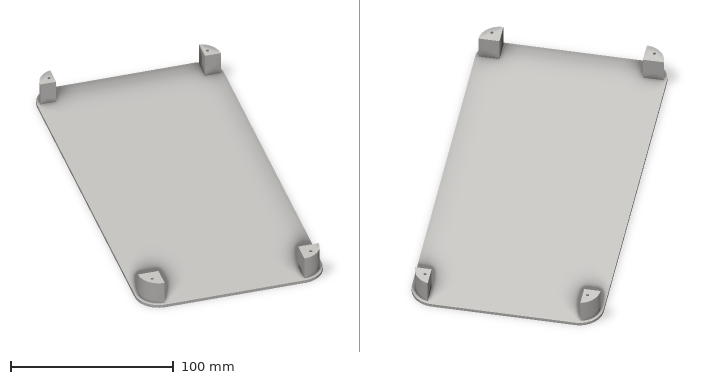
import cadquery as cq

length = 240.0
width = 120.0
total_height = 17.0
plate_thickness = 2.0
corner_radius = 15.0

rim = 2.0
post_radius = corner_radius - rim
post_height = total_height - plate_thickness
left_post_trim = 3.0

hole_diameter = 2.0
left_hole_inset_x = 10.0
right_hole_inset_x = 8.5
hole_inset_y = 9.0


def make_plate():
    plate = cq.Workplane("XY").box(length, width, plate_thickness, centered=(True, True, False))
    return plate.edges("|Z").fillet(corner_radius)


def make_post(side_x, side_y, trim):
    """Quarter-round post for the corner at signs (side_x, side_y), cut back by trim along Y."""
    center_x = side_x * (length / 2 - corner_radius)
    center_y = side_y * (width / 2 - corner_radius)
    top = cq.Workplane("XY").workplane(offset=plate_thickness)
    cylinder = top.center(center_x, center_y).circle(post_radius).extrude(post_height)
    kept_depth = post_radius - trim
    kept_corner = (
        top.center(center_x + side_x * post_radius / 2, center_y + side_y * (trim + kept_depth / 2))
        .rect(post_radius, kept_depth)
        .extrude(post_height)
    )
    return cylinder.intersect(kept_corner)


result = make_plate()
hole_points = []
for side_x, trim, hole_inset_x in ((-1, left_post_trim, left_hole_inset_x), (1, 0, right_hole_inset_x)):
    for side_y in (-1, 1):
        result = result.union(make_post(side_x, side_y, trim))
        hole_points.append((side_x * (length / 2 - hole_inset_x), side_y * (width / 2 - hole_inset_y)))

holes = cq.Workplane("XY").pushPoints(hole_points).circle(hole_diameter / 2).extrude(total_height)
result = result.cut(holes)